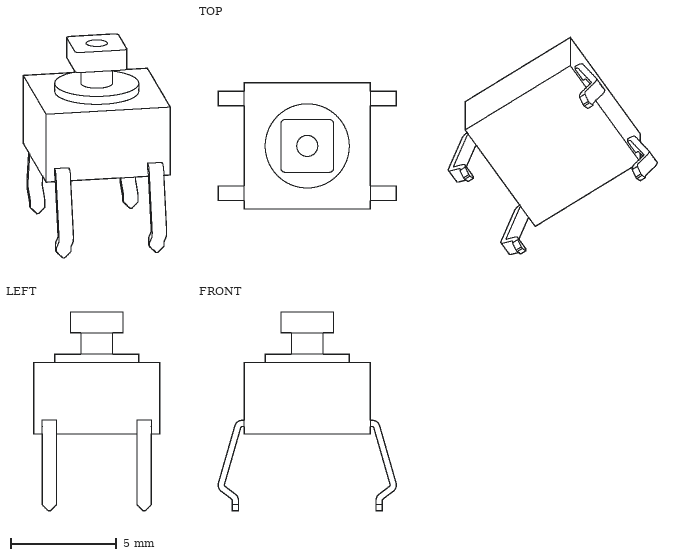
import cadquery as cq
import math

HOUSING_SIDE = 6.0
HOUSING_HEIGHT = 3.4
COLLAR_DIAMETER = 4.0
COLLAR_HEIGHT = 0.4

STEM_DIAMETER = 1.5
STEM_HEIGHT = 1.0
CAP_SIDE = 2.5
CAP_HEIGHT = 1.0
CAP_CORNER_RADIUS = 0.2
CAP_HOLE_DIAMETER = 1.0
CAP_HOLE_DEPTH = 0.5

TOTAL_HEIGHT = 9.45
LEAD_SPAN = 8.47

STRIP_WIDTH = 0.7
STRIP_THICKNESS = 0.3
LEAD_PITCH = 4.5
BEND_RADIUS = 0.23
TIP_CHAMFER = 0.3
EXIT_HEIGHT = 0.51
KNEE_Z = -2.5
FOOT_X = 3.41
SHANK_ANGLE = math.radians(16)
ANKLE_ANGLE = math.radians(53)

HOUSING_TOP = HOUSING_HEIGHT + COLLAR_HEIGHT
CAP_BOTTOM = HOUSING_TOP + STEM_HEIGHT
CAP_TOP = CAP_BOTTOM + CAP_HEIGHT
LEAD_BOTTOM = CAP_TOP - TOTAL_HEIGHT

KNEE_CENTRE_X = LEAD_SPAN / 2 - BEND_RADIUS - STRIP_THICKNESS / 2
KNEE_CORNER_OFFSET = (
    BEND_RADIUS
    * (math.cos(SHANK_ANGLE) + math.cos(ANKLE_ANGLE))
    / (1 + math.cos(SHANK_ANGLE + ANKLE_ANGLE))
)
KNEE_X = KNEE_CENTRE_X + KNEE_CORNER_OFFSET
SHOULDER_X = KNEE_X - (EXIT_HEIGHT - KNEE_Z) * math.tan(SHANK_ANGLE)
ANKLE_Z = KNEE_Z - (KNEE_X - FOOT_X) / math.tan(ANKLE_ANGLE)


def make_housing():
    block = cq.Workplane("XY").box(HOUSING_SIDE, HOUSING_SIDE, HOUSING_HEIGHT, centered=(True, True, False))
    return block.faces(">Z").workplane().circle(COLLAR_DIAMETER / 2).extrude(COLLAR_HEIGHT)


def make_plunger():
    cap = (
        cq.Workplane("XY", origin=(0, 0, CAP_BOTTOM))
        .rect(CAP_SIDE, CAP_SIDE)
        .extrude(CAP_HEIGHT)
        .edges("|Z")
        .fillet(CAP_CORNER_RADIUS)
    )
    stem = cq.Workplane("XY", origin=(0, 0, HOUSING_TOP)).circle(STEM_DIAMETER / 2).extrude(STEM_HEIGHT)
    return cap.union(stem).faces(">Z").workplane().hole(CAP_HOLE_DIAMETER, CAP_HOLE_DEPTH)


def make_lead():
    """Lead on the +X side, centred on Y = 0, starting at the housing wall."""
    wall_x = HOUSING_SIDE / 2
    corners = [
        cq.Vector(wall_x, 0, EXIT_HEIGHT),
        cq.Vector(SHOULDER_X, 0, EXIT_HEIGHT),
        cq.Vector(KNEE_X, 0, KNEE_Z),
        cq.Vector(FOOT_X, 0, ANKLE_Z),
        cq.Vector(FOOT_X, 0, LEAD_BOTTOM),
    ]
    sharp_path = cq.Wire.makePolygon(corners)
    path = sharp_path.fillet(BEND_RADIUS, sharp_path.Vertices()[1:-1])
    strip = (
        cq.Workplane("YZ", origin=(wall_x, 0, EXIT_HEIGHT))
        .rect(STRIP_WIDTH, STRIP_THICKNESS)
        .sweep(cq.Workplane(path))
    )
    return strip.faces("<Z").edges("|X").chamfer(TIP_CHAMFER)


housing = make_housing()
plunger = make_plunger()

lead = make_lead()
leads = []
for turn in (0, 180):
    for y in (-LEAD_PITCH / 2, LEAD_PITCH / 2):
        leads.append(lead.translate((0, y, 0)).rotate((0, 0, 0), (0, 0, 1), turn).val())

result = cq.Compound.makeCompound([housing.val(), plunger.val(), *leads])